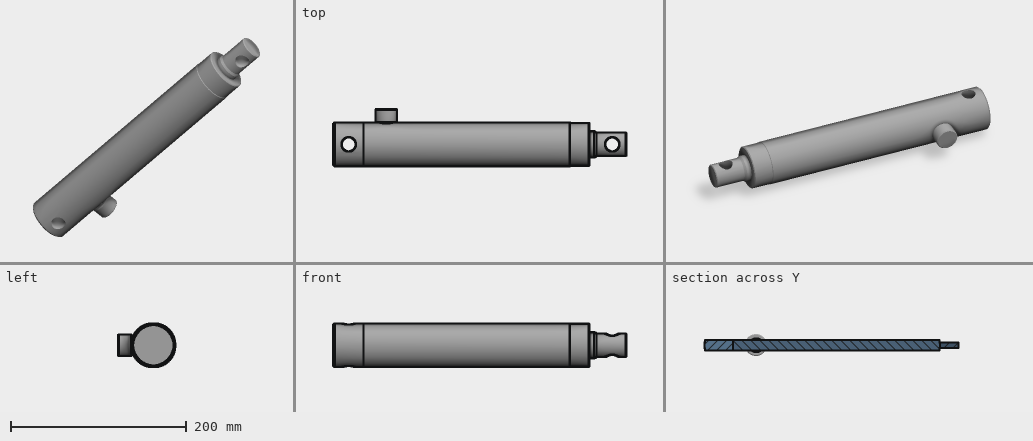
import cadquery as cq

LENGTH = 334.0
BARREL_DIAMETER = 50.0

CAP_END = 34.5
CAP_CHAMFER = 2.0
CAP_EYE_X = 17.7

TUBE_END = 270.0
TUBE_CHAMFER = 0.7

GLAND_DIAMETER = 49.0
GLAND_END = 292.0
GLAND_CHAMFER = 1.0

ROD_DIAMETER = 30.0
ROD_SHOULDER_X = 297.3
ROD_TAPER_END = 300.0
ROD_EYE_DIAMETER = 27.0
ROD_EYE_X = 318.0
ROD_CHAMFER = 1.0

PIN_HOLE_DIAMETER = 16.0

PORT_X = 60.5
PORT_DIAMETER = 25.0
PORT_OUTER_Y = 40.0
PORT_INNER_Y = 24.7
PORT_CHAMFER = 1.0
PORT_NECK_DIAMETER = 16.0


def rod_along_x(diameter, start, end):
    """Plain cylinder on the X axis between two X positions."""
    return cq.Workplane("YZ", origin=(start, 0, 0)).circle(diameter / 2).extrude(end - start)


def rod_along_y(diameter, start, end):
    """Plain cylinder parallel to Y, on the port axis."""
    plane = cq.Plane(origin=(PORT_X, start, 0), xDir=(1, 0, 0), normal=(0, 1, 0))
    return cq.Workplane(plane).circle(diameter / 2).extrude(end - start)


def pin_hole(x):
    """Cutter for a pin hole through the full barrel height."""
    return (
        cq.Workplane("XY", origin=(x, 0, 0))
        .circle(PIN_HOLE_DIAMETER / 2)
        .extrude(BARREL_DIAMETER, both=True)
    )


def make_end_cap():
    cap = rod_along_x(BARREL_DIAMETER, 0, CAP_END)
    return cap.faces("<X").chamfer(CAP_CHAMFER).cut(pin_hole(CAP_EYE_X))


def make_tube():
    tube = rod_along_x(BARREL_DIAMETER, CAP_END, TUBE_END)
    return tube.faces(">X").chamfer(TUBE_CHAMFER)


def make_gland():
    gland = rod_along_x(GLAND_DIAMETER, TUBE_END, GLAND_END)
    return gland.faces(">X").chamfer(GLAND_CHAMFER)


def make_rod():
    """Rod tapering down to a smaller eye end."""
    rod_radius = ROD_DIAMETER / 2
    eye_radius = ROD_EYE_DIAMETER / 2
    profile = (
        cq.Workplane("XY")
        .moveTo(GLAND_END, 0)
        .lineTo(GLAND_END, rod_radius)
        .lineTo(ROD_SHOULDER_X, rod_radius)
        .lineTo(ROD_TAPER_END, eye_radius)
        .lineTo(LENGTH, eye_radius)
        .lineTo(LENGTH, 0)
        .close()
    )
    rod = profile.revolve(360, (0, 0, 0), (1, 0, 0))
    return rod.faces(">X").chamfer(ROD_CHAMFER).cut(pin_hole(ROD_EYE_X))


def make_port():
    """Chamfered boss on a neck that is seated on the round tube wall."""
    boss = rod_along_y(PORT_DIAMETER, PORT_INNER_Y, PORT_OUTER_Y)
    boss = boss.faces("<Y or >Y").chamfer(PORT_CHAMFER)
    neck = rod_along_y(PORT_NECK_DIAMETER, 0, PORT_OUTER_Y - PORT_CHAMFER)
    return boss.union(neck).cut(rod_along_x(BARREL_DIAMETER, 0, TUBE_END))


end_cap = make_end_cap()
tube = make_tube()
gland = make_gland()
rod = make_rod()
port = make_port()

result = cq.Compound.makeCompound(
    [end_cap.val(), tube.val(), gland.val(), rod.val(), port.val()]
)